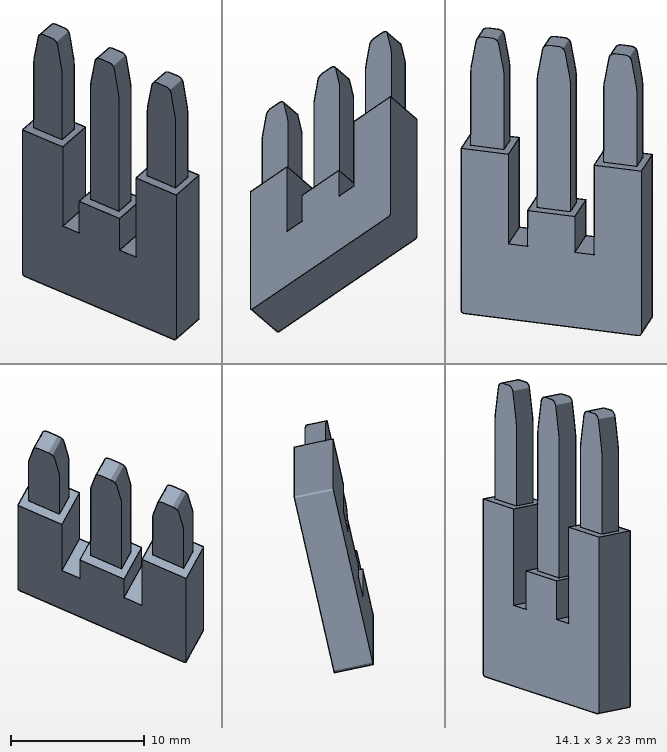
import cadquery as cq
import math

pin_pitch = 5.2
total_height = 23.0

body_thickness = 3.0
tower_width = 3.7
body_width = 2 * pin_pitch + tower_width
web_height = 6.3
middle_tower_height = 9.3
outer_tower_height = 13.8
bottom_corner_radius = 0.25

pin_width = 2.6
pin_thickness = 1.6
taper_length = 2.76
taper_angle = math.radians(10)
tip_width = pin_width - 2 * taper_length * math.tan(taper_angle)
tip_radius = 0.5
shoulder_radius = 3.0
shoulder_margin = 0.1

towers = [
    (-pin_pitch, outer_tower_height),
    (0, middle_tower_height),
    (pin_pitch, outer_tower_height),
]


def block(width, height, center_x):
    """Full-thickness block standing on the base plane."""
    return (
        cq.Workplane("XY")
        .center(center_x, 0)
        .rect(width, body_thickness)
        .extrude(height)
    )


def make_body():
    """Web with a tower under each pin and rounded lower end corners."""
    body = block(body_width, web_height, 0)
    for center_x, height in towers:
        body = body.union(block(tower_width, height, center_x))
    lower_ends = body.faces("<Z").edges("|Y")
    return lower_ends.fillet(bottom_corner_radius)


def make_pin(center_x, base_height):
    """Flat pin rising from its tower, tapered and rounded at the tip."""
    shoulder_height = total_height - taper_length
    half_width = pin_width / 2
    half_tip = tip_width / 2
    pin = (
        cq.Workplane("XZ")
        .moveTo(-half_width, base_height)
        .lineTo(half_width, base_height)
        .lineTo(half_width, shoulder_height)
        .lineTo(half_tip, total_height)
        .lineTo(-half_tip, total_height)
        .lineTo(-half_width, shoulder_height)
        .close()
        .extrude(pin_thickness / 2, both=True)
    )
    pin = pin.faces(">Z").edges("|Y").fillet(tip_radius)
    shoulder_zone = cq.selectors.BoxSelector(
        (-pin_width, -pin_thickness, shoulder_height - shoulder_margin),
        (pin_width, pin_thickness, shoulder_height + shoulder_margin),
    )
    pin = pin.edges("|Y").edges(shoulder_zone).fillet(shoulder_radius)
    return pin.translate((center_x, 0, 0))


result = make_body()
for tower_x, tower_height in towers:
    result = result.union(make_pin(tower_x, tower_height))